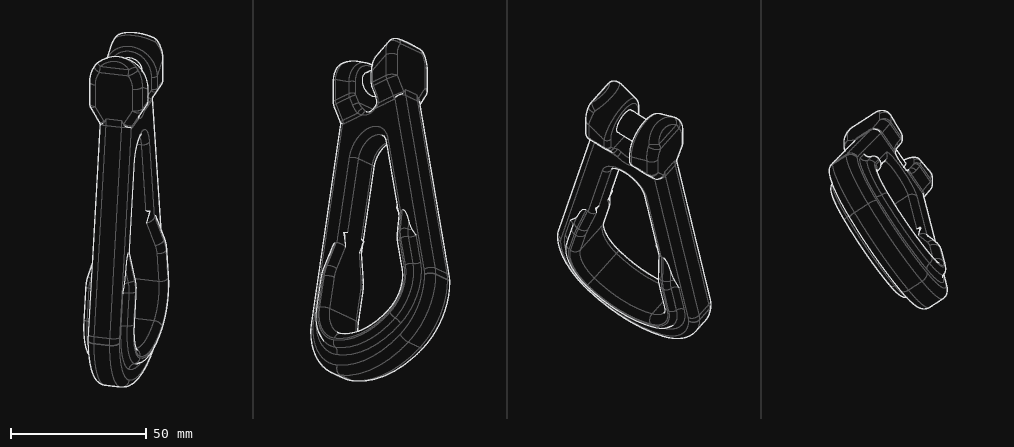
import cadquery as cq
import math

body_thickness = 12.0
body_half_width = 32.5
outer_corner_radius = 25.2
outer_corner_height = 26.8
shoulder_height = 28.3
bend_radius = 13.4
outer_edge_radius = 3.0
hole_edge_radius = 2.4

leg_angle = math.radians(11.2)
hole_bottom = 15.0
hole_top_radius = 8.0
hole_top_centre = 89.5
hole_corner_radius = 12.1
hole_corner_height = 29.0

rib_thickness = 19.0
rib_inner_radius = 2.7
rib_flat_end = 3.4
rib_wall_middle = 5.6
rib_width = 7.9
rib_full_height = 43.6
ramp_angle = math.radians(16)
ramp_bend_radius = 6.0
ramp_length = 17.5

total_height = 134.2
head_thickness = 20.3
head_half_width = 16.4
head_bottom = 106.0
flare_bottom = 107.6
flare_top = 114.6
flare_blend_radius = 2.7
head_top_tilt = math.radians(28)
outer_slope = math.radians(45)
head_edge_radius = 3.0
head_peak_y = 12.1
body_top = 112.7

slot_half_width = 4.5
slot_bottom = 107.6
slot_edge_radius = 1.7
pin_radius = 4.8
pin_height = 122.4

corner_arc_middle = math.radians(-30)

pick_margin = 0.7


def bottom_arc(corner_y, corner_z, corner_radius, bottom_z):
    """Point where a corner arc runs into the arc crossing the lowest point (0, bottom_z)."""
    rise = corner_z - bottom_z
    radius = (corner_y**2 + rise**2 - corner_radius**2) / (2 * (rise - corner_radius))
    centre_z = bottom_z + radius
    reach = radius / (radius - corner_radius)
    return corner_y * reach, centre_z + (corner_z - centre_z) * reach


def on_circle(centre, radius, angle):
    return centre[0] + radius * math.cos(angle), centre[1] + radius * math.sin(angle)


def mirrored(point):
    return -point[0], point[1]


leg_offset = hole_top_radius + hole_top_centre * math.sin(leg_angle)
hole_corner = (
    (leg_offset - hole_corner_radius - hole_corner_height * math.sin(leg_angle)) / math.cos(leg_angle),
    hole_corner_height,
)
leg_top = on_circle((0, hole_top_centre), hole_top_radius, leg_angle)
leg_bottom = on_circle(hole_corner, hole_corner_radius, leg_angle)
hole_corner_middle = on_circle(hole_corner, hole_corner_radius, corner_arc_middle)
hole_corner_end = bottom_arc(*hole_corner, hole_corner_radius, hole_bottom)


def make_body():
    corner_y = body_half_width - outer_corner_radius
    corner = (corner_y, outer_corner_height)
    side = (body_half_width, outer_corner_height)
    shoulder = (body_half_width, shoulder_height)
    middle = on_circle(corner, outer_corner_radius, corner_arc_middle)
    end = bottom_arc(*corner, outer_corner_radius, 0)
    neck_height = shoulder_height + (body_half_width - head_half_width) / math.tan(leg_angle)
    neck = (head_half_width, neck_height)
    top = (head_half_width, body_top)
    blank = (
        cq.Workplane("YZ")
        .moveTo(*mirrored(end))
        .threePointArc((0, 0), end)
        .threePointArc(middle, side)
        .lineTo(*shoulder)
        .lineTo(*neck)
        .lineTo(*top)
        .lineTo(*mirrored(top))
        .lineTo(*mirrored(neck))
        .lineTo(*mirrored(shoulder))
        .lineTo(*mirrored(side))
        .threePointArc(mirrored(middle), mirrored(end))
        .close()
        .extrude(body_thickness / 2, both=True)
    )
    bends = cq.selectors.BoxSelector(
        (-body_thickness, -body_half_width - pick_margin, shoulder_height - pick_margin),
        (body_thickness, body_half_width + pick_margin, neck_height + pick_margin),
    )
    blank = blank.edges("|X").edges(bends).fillet(bend_radius)
    blank = blank.faces("<X or >X").edges("not >Z").fillet(outer_edge_radius)

    hole = (
        cq.Workplane("YZ")
        .moveTo(*mirrored(hole_corner_end))
        .threePointArc((0, hole_bottom), hole_corner_end)
        .threePointArc(hole_corner_middle, leg_bottom)
        .lineTo(*leg_top)
        .threePointArc((0, hole_top_centre + hole_top_radius), mirrored(leg_top))
        .lineTo(*mirrored(leg_bottom))
        .threePointArc(mirrored(hole_corner_middle), mirrored(hole_corner_end))
        .close()
        .extrude(body_thickness, both=True)
    )
    hole_area = cq.selectors.BoxSelector(
        (-body_thickness, -leg_bottom[0] - pick_margin, hole_bottom - pick_margin),
        (body_thickness, leg_bottom[0] + pick_margin, hole_top_centre + hole_top_radius + pick_margin),
    )
    return blank.cut(hole).faces("<X or >X").edges(hole_area).fillet(hole_edge_radius)


def make_ribs():
    """Ribs on both faces; each leaves the body in a ramp on either leg."""
    section_plane = cq.Plane(
        origin=(0, *leg_bottom),
        xDir=(0, math.cos(leg_angle), math.sin(leg_angle)),
        normal=(0, math.sin(leg_angle), -math.cos(leg_angle)),
    )
    base = body_thickness / 2
    top = rib_thickness / 2
    middle_share = (rib_wall_middle - rib_flat_end) / (rib_width - rib_flat_end)
    middle = top + (base - top) * middle_share

    def section():
        return (
            cq.Workplane(section_plane)
            .lineTo(0, top - rib_inner_radius)
            .tangentArcPoint((rib_inner_radius, top), relative=False)
            .lineTo(rib_flat_end, top)
            .tangentArcPoint((rib_wall_middle, middle), relative=False)
            .tangentArcPoint((rib_width, base), relative=False)
            .lineTo(rib_width, 0)
            .close()
        )

    around_bottom = (
        cq.Workplane("YZ")
        .moveTo(*leg_bottom)
        .threePointArc(hole_corner_middle, hole_corner_end)
        .threePointArc((0, hole_bottom), mirrored(hole_corner_end))
        .threePointArc(mirrored(hole_corner_middle), mirrored(leg_bottom))
    )
    leg_plane = cq.Plane(
        origin=(0, *leg_bottom),
        xDir=(0, -math.sin(leg_angle), math.cos(leg_angle)),
        normal=(0, -math.cos(leg_angle), -math.sin(leg_angle)),
    )
    leg_length = (rib_full_height - leg_bottom[1]) / math.cos(leg_angle)
    bend_run = ramp_bend_radius * math.sin(ramp_angle)
    bend_drop = ramp_bend_radius * (1 - math.cos(ramp_angle))
    up_the_leg = (
        cq.Workplane(leg_plane)
        .lineTo(leg_length, 0)
        .tangentArcPoint((bend_run, bend_drop))
        .line(ramp_length * math.cos(ramp_angle), ramp_length * math.sin(ramp_angle))
    )
    leg = section().sweep(up_the_leg)
    face_rib = section().sweep(around_bottom).union(leg).union(leg.mirror("XZ"))
    return face_rib.union(face_rib.mirror("YZ"))


def make_lug():
    """Lug on the +Y side, solid down to the middle plane."""
    half_thickness = head_thickness / 2
    crest_lean = math.cos((outer_slope - head_top_tilt) / 2)
    crest_turn = math.cos((outer_slope + head_top_tilt) / 2)
    peak_z = total_height + head_edge_radius * (crest_lean / crest_turn - 1)
    foot = body_thickness / 2
    flared = (
        cq.Workplane("XZ")
        .moveTo(-foot, head_bottom)
        .lineTo(foot, head_bottom)
        .lineTo(foot, flare_bottom)
        .lineTo(half_thickness, flare_top)
        .lineTo(half_thickness, total_height + half_thickness)
        .lineTo(-half_thickness, total_height + half_thickness)
        .lineTo(-half_thickness, flare_top)
        .lineTo(-foot, flare_bottom)
        .close()
        .extrude(-head_half_width)
    )
    flare_corners = cq.selectors.BoxSelector(
        (-head_thickness, 0, flare_bottom - pick_margin),
        (head_thickness, head_half_width, flare_top + pick_margin),
    )
    flared = flared.edges(flare_corners).edges("|Y").fillet(flare_blend_radius)
    tilted = cq.Plane(
        origin=(0, head_peak_y, peak_z),
        xDir=(1, 0, 0),
        normal=(0, -math.cos(head_top_tilt), -math.sin(head_top_tilt)),
    )
    tall = total_height / 2
    round_top = (
        cq.Workplane(tilted)
        .moveTo(-half_thickness, -half_thickness)
        .threePointArc((0, 0), (half_thickness, -half_thickness))
        .lineTo(half_thickness, -tall)
        .lineTo(-half_thickness, -tall)
        .close()
        .extrude(tall, both=True)
    )
    slope_end = peak_z - tall * math.tan(outer_slope)
    outer_slope_cut = (
        cq.Workplane("YZ")
        .moveTo(head_peak_y, peak_z)
        .lineTo(head_peak_y + tall, slope_end)
        .lineTo(head_peak_y + tall, peak_z + tall)
        .lineTo(head_peak_y, peak_z + tall)
        .close()
        .extrude(head_thickness, both=True)
    )
    lug = flared.intersect(round_top).cut(outer_slope_cut)
    outer_area = cq.selectors.BoxSelector(
        (-head_thickness, head_half_width / 2, head_bottom + pick_margin),
        (head_thickness, head_half_width + pick_margin, peak_z + pick_margin),
    )
    return lug.edges(outer_area).fillet(head_edge_radius)


def make_head():
    lug = make_lug()
    return lug.union(lug.mirror("XZ"))


def cut_slot(part):
    arc_centre = slot_bottom + slot_half_width
    slot = (
        cq.Workplane("YZ")
        .moveTo(-slot_half_width, total_height)
        .lineTo(-slot_half_width, arc_centre)
        .threePointArc((0, slot_bottom), (slot_half_width, arc_centre))
        .lineTo(slot_half_width, total_height)
        .close()
        .extrude(head_thickness, both=True)
    )
    return part.cut(slot)


def round_slot(part):
    slot_area = cq.selectors.BoxSelector(
        (-head_thickness, -slot_half_width - pick_margin, slot_bottom - pick_margin),
        (head_thickness, slot_half_width + pick_margin, total_height),
    )
    return part.edges(slot_area).edges("not |X").fillet(slot_edge_radius)


def make_pin():
    return (
        cq.Workplane("XZ")
        .center(0, pin_height)
        .circle(pin_radius)
        .extrude(slot_half_width + slot_edge_radius, both=True)
    )


link = make_body().union(make_head())
link = round_slot(cut_slot(link))
result = link.union(make_ribs()).union(make_pin())